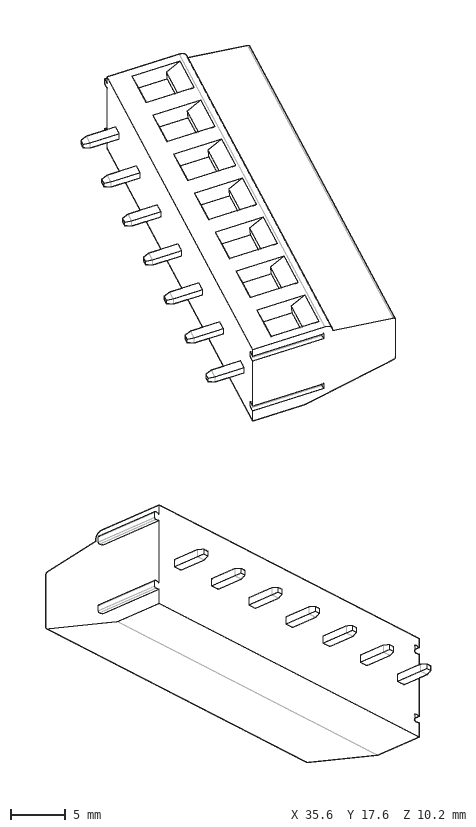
import cadquery as cq
import math

pole_count = 7
overall_length = 35.6
ridge_depth = 0.6
body_length = overall_length - ridge_depth
pitch = body_length / pole_count

body_depth = 14.1
body_height = 10.2
underside_flat = 5.15
back_bottom = 2.5
back_top = 8.33
step_y = 7.9
step_height = 0.9
step_round = 0.8
back_corner_round = 0.3

dovetail_length = 7.0
dovetail_heights = (1.8, 8.95)
neck_half_height = 0.338
widest_half_height = 0.43
dovetail_round = 0.15

window_width = 3.38
window_front = 2.15
window_back = 6.87
window_depth = 1.45
floor_width = 2.6
floor_front = 2.65
floor_back = 5.45
back_slope_drop = 0.7

pin_width = 0.9
pin_thickness = 0.75
pin_length = 3.5
pin_height = 5.0
tip_length = 0.6
tip_width = 0.55
tip_thickness = 0.5


def make_body():
    arc_center_y = step_y - step_round
    arc_center_z = body_height - step_round
    diagonal = step_round * math.sqrt(0.5)
    profile = (
        cq.Workplane("YZ")
        .moveTo(0, 0)
        .lineTo(underside_flat, 0)
        .lineTo(body_depth, back_bottom)
        .lineTo(body_depth, back_top)
        .lineTo(step_y, body_height - step_height)
        .lineTo(step_y, arc_center_z)
        .threePointArc(
            (arc_center_y + diagonal, arc_center_z + diagonal),
            (arc_center_y, body_height),
        )
        .lineTo(0, body_height)
        .close()
    )
    body = profile.extrude(body_length)
    return body.faces(">Y").edges("|X").fillet(back_corner_round)


def make_dovetail(root_x, height):
    """Dovetail bar along Y, narrow at root_x and widening towards -X, outer corners rounded."""
    outer_x = root_x - ridge_depth
    bar = (
        cq.Workplane("XZ")
        .polyline([
            (root_x, height - neck_half_height),
            (outer_x, height - widest_half_height),
            (outer_x, height + widest_half_height),
            (root_x, height + neck_half_height),
        ])
        .close()
        .extrude(-dovetail_length)
    )
    return bar.faces("<X").edges("|Y").fillet(dovetail_round)


def make_window(center_x):
    """Funnel with tapered sides; its back slopes down, then drops straight to the floor."""
    window_length = window_back - window_front
    taper = (
        cq.Workplane("XY", origin=(center_x, 0, body_height))
        .center(0, window_front + window_length / 2)
        .rect(window_width, window_length)
        .workplane(offset=-window_depth)
        .center(0, (floor_front - window_front) / 2)
        .rect(floor_width, window_back - floor_front)
        .loft(ruled=True)
    )
    side_profile = (
        cq.Workplane("YZ", origin=(center_x, 0, body_height))
        .polyline([
            (window_front, 0),
            (window_back, 0),
            (floor_back, -back_slope_drop),
            (floor_back, -window_depth),
            (window_front, -window_depth),
        ])
        .close()
        .extrude(window_width / 2, both=True)
    )
    return taper.intersect(side_profile)


def make_pin(center_x):
    shank_length = pin_length - tip_length
    shank = (
        cq.Workplane("XZ", origin=(center_x, 0, pin_height))
        .rect(pin_width, pin_thickness)
        .extrude(shank_length)
    )
    tip = (
        cq.Workplane("XZ", origin=(center_x, -shank_length, pin_height))
        .rect(pin_width, pin_thickness)
        .workplane(offset=tip_length)
        .rect(tip_width, tip_thickness)
        .loft(ruled=True)
    )
    return shank.union(tip)


result = make_body()

for height in dovetail_heights:
    result = result.union(make_dovetail(0, height))
    result = result.cut(make_dovetail(body_length, height))

for pole in range(pole_count):
    pole_x = (pole + 0.5) * pitch
    result = result.cut(make_window(pole_x))
    result = result.union(make_pin(pole_x))